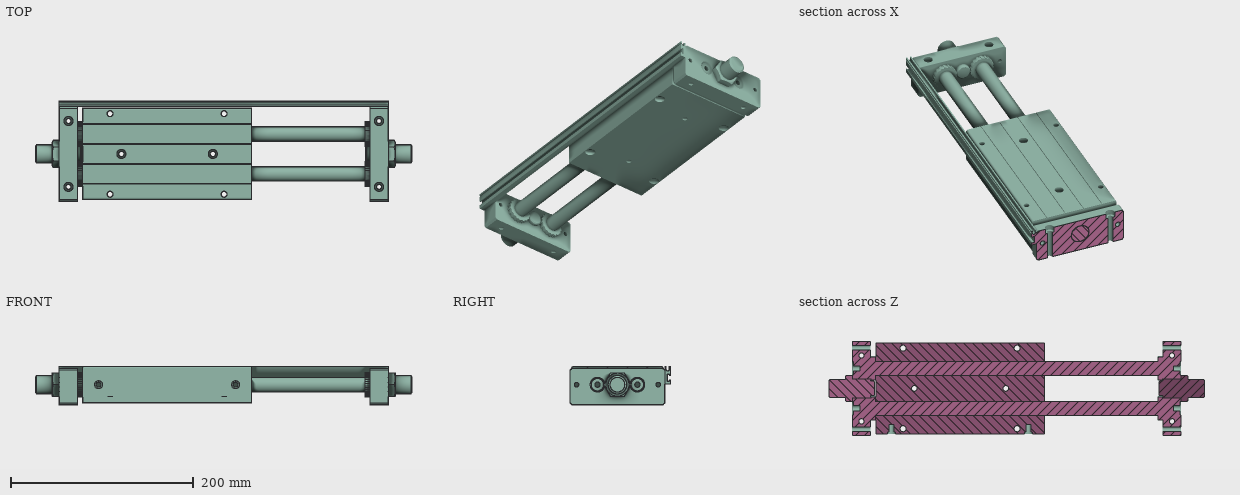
import cadquery as cq
import math

overall_length = 412.0

plate_outer_x = 180.0
plate_thickness = 20.0
plate_inner_x = plate_outer_x - plate_thickness
plate_mid_x = plate_outer_x - plate_thickness / 2
plate_width = 104.0
plate_height = 40.0
plate_drop = 2.0
plate_chamfer = 2.0
rod_diameter = 16.0
rod_spacing = 43.5
rod_places = [-rod_spacing / 2, rod_spacing / 2]

collar_diameter = 27.0
collar_length = 5.5
collar_teeth = 18
collar_tooth_width = 2.5
collar_tooth_depth = 1.0
rod_dimple_diameter = rod_diameter
rod_dimple_depth = 1.2
rod_screw_hole_diameter = 5.8
rod_screw_hole_depth = 8.2
end_hole_diameter = 5.0
end_hole_spacing = 89.5
mount_hole_spacing = 72.0
mount_hole_diameter = 5.5
mount_bore_diameter = 10.0
mount_bore_depth = 6.0

absorber_diameter = 20.0
absorber_chamfer_length = 1.2
absorber_chamfer_depth = 2.0
absorber_nose_diameter = 16.5
absorber_nose_x = 155.5
absorber_nose_chamfer = 1.2
nut_sides = 6
nut_across_flats = 26.0
nut_outer_x = 188.0
nut_thickness = nut_outer_x - plate_outer_x
nut_face_diameter = 25.0
nut_chamfer_angle = 30

carriage_start_x = collar_length - plate_inner_x
carriage_length = 185.0
carriage_mid_x = carriage_start_x + carriage_length / 2
carriage_width = 100.0
carriage_height = 40.0
carriage_fillet = 2.25
groove_count = 4
groove_width = 1.0
groove_depth = 1.0
groove_spacing = rod_spacing / 2
corner_hole_diameter = 6.0
corner_bore_diameter = 11.0
corner_bore_depth = 7.0
corner_hole_pitch_x = 125.0
corner_hole_pitch_y = 88.0
center_hole_pitch_x = 100.0
center_hole_diameter = 5.8
center_bore_diameter = 10.0
center_bore_depth = 6.0
side_hole_pitch_x = 150.0
side_hole_diameter = 5.5
side_bore_diameter = 8.5
side_bore_depth = 2.0
side_hole_depth = 10.5

rail_end_x = 180.5
rail_depth = 6.0
rail_height = 19.5
top_slot_width = 3.5
top_slot_depth = 5.0
side_slot_height = 5.0
side_slot_pocket_height = 7.5
side_slot_depth = 3.5
side_slot_lip = 1.2
side_slot_above_bottom = 7.0
lip_groove_size = 1.2
lip_groove_below_top = 3.0

plate_mid_z = -plate_drop
carriage_top_z = carriage_height / 2
rail_inner_y = plate_width / 2
rail_outer_y = rail_inner_y + rail_depth
rail_top_z = carriage_top_z


def box_between(low, high):
    """Box given by two opposite corners."""
    sizes = [end - start for start, end in zip(low, high)]
    return cq.Workplane("XY").box(*sizes, centered=False).translate(low)


def x_cylinder(diameter, start_x, end_x, y=0.0, z=0.0):
    """Cylinder along X between two X positions."""
    return (
        cq.Workplane("YZ", origin=(start_x, 0, 0))
        .center(y, z)
        .circle(diameter / 2)
        .extrude(end_x - start_x)
    )


def mirror_x(shape):
    return shape.mirror("YZ")


def stepped_holes(plane, origin, points, diameter, depth, bore_diameter, bore_depth):
    """Counterbored hole tools that go into the part from a plane whose normal points outward."""
    face = cq.Workplane(plane, origin=origin)
    holes = face.pushPoints(points).circle(diameter / 2).extrude(-depth)
    bores = face.pushPoints(points).circle(bore_diameter / 2).extrude(-bore_depth)
    return holes.union(bores)


def make_end_plate():
    """End plate at the +X end, with its two toothed collars and all of its holes."""
    plate = (
        cq.Workplane("XY", origin=(plate_mid_x, 0, plate_mid_z))
        .box(plate_thickness, plate_width, plate_height)
        .edges("|X")
        .chamfer(plate_chamfer)
    )
    collars = (
        cq.Workplane("YZ", origin=(plate_inner_x - collar_length, 0, 0))
        .pushPoints([(y, 0) for y in rod_places])
        .circle(collar_diameter / 2)
        .extrude(collar_length)
    )
    for y in rod_places:
        gaps = (
            cq.Workplane("YZ", origin=(plate_inner_x - collar_length, y, 0))
            .polarArray(collar_diameter / 2, 0, 360, collar_teeth)
            .rect(2 * collar_tooth_depth, collar_tooth_width)
            .extrude(collar_length)
        )
        collars = collars.cut(gaps)
    plate = plate.union(collars)

    for y in rod_places:
        dimple = (
            cq.Workplane("YZ", origin=(plate_outer_x - rod_dimple_depth, y, 0))
            .circle(rod_dimple_diameter / 2 - rod_dimple_depth)
            .workplane(offset=rod_dimple_depth)
            .circle(rod_dimple_diameter / 2)
            .loft()
        )
        screw_hole = x_cylinder(
            rod_screw_hole_diameter, plate_outer_x - rod_screw_hole_depth, plate_outer_x, y
        )
        plate = plate.cut(dimple).cut(screw_hole)

    for y in [-end_hole_spacing / 2, end_hole_spacing / 2]:
        plate = plate.cut(x_cylinder(end_hole_diameter, plate_inner_x, plate_outer_x, y))

    mount_holes = stepped_holes(
        "XY",
        (plate_mid_x, 0, plate_mid_z + plate_height / 2),
        [(0, -mount_hole_spacing / 2), (0, mount_hole_spacing / 2)],
        mount_hole_diameter,
        plate_height,
        mount_bore_diameter,
        mount_bore_depth,
    )
    absorber_hole = x_cylinder(absorber_diameter, plate_inner_x, plate_outer_x)
    return plate.cut(mount_holes).cut(absorber_hole)


def make_rail():
    """Sensor rail along the +Y side, slotted on its top and on its outer face."""
    rail = box_between(
        (-rail_end_x, rail_inner_y, rail_top_z - rail_height),
        (rail_end_x, rail_outer_y, rail_top_z),
    )
    slot_y = (rail_inner_y + rail_outer_y) / 2
    slot_z = rail_top_z - rail_height + side_slot_above_bottom
    groove_z = rail_top_z - lip_groove_below_top

    top_slot = (
        cq.Workplane("YZ", origin=(-rail_end_x, 0, 0))
        .moveTo(slot_y - top_slot_width / 2, rail_top_z)
        .lineTo(slot_y - top_slot_width / 2, rail_top_z - top_slot_depth + top_slot_width / 2)
        .threePointArc(
            (slot_y, rail_top_z - top_slot_depth),
            (slot_y + top_slot_width / 2, rail_top_z - top_slot_depth + top_slot_width / 2),
        )
        .lineTo(slot_y + top_slot_width / 2, rail_top_z)
        .close()
        .extrude(2 * rail_end_x)
    )
    side_slot = box_between(
        (-rail_end_x, rail_outer_y - side_slot_depth, slot_z - side_slot_height / 2),
        (rail_end_x, rail_outer_y, slot_z + side_slot_height / 2),
    )
    side_pocket = box_between(
        (-rail_end_x, rail_outer_y - side_slot_depth, slot_z - side_slot_pocket_height / 2),
        (rail_end_x, rail_outer_y - side_slot_lip, slot_z + side_slot_pocket_height / 2),
    )
    lip_groove = box_between(
        (-rail_end_x, rail_outer_y - lip_groove_size, groove_z - lip_groove_size / 2),
        (rail_end_x, rail_outer_y, groove_z + lip_groove_size / 2),
    )
    return rail.cut(top_slot).cut(side_slot).cut(side_pocket).cut(lip_groove)


def make_frame():
    """Two end plates joined by the two guide rods and the sensor rail."""
    end_plate = make_end_plate()
    frame = end_plate.union(mirror_x(end_plate)).union(make_rail())
    for y in rod_places:
        frame = frame.union(x_cylinder(rod_diameter, -plate_inner_x, plate_inner_x, y))
    return frame


def make_carriage():
    """Sliding block on the guide rods."""
    block = (
        cq.Workplane("XY", origin=(carriage_mid_x, 0, 0))
        .box(carriage_length, carriage_width, carriage_height)
        .edges("|X and >Z")
        .fillet(carriage_fillet)
    )
    end_x = carriage_start_x + carriage_length
    for y in rod_places:
        block = block.cut(x_cylinder(rod_diameter, carriage_start_x, end_x, y))

    for number in range(groove_count):
        y = (number - (groove_count - 1) / 2) * groove_spacing
        block = block.cut(
            box_between(
                (carriage_start_x, y - groove_width / 2, carriage_top_z - groove_depth),
                (end_x, y + groove_width / 2, carriage_top_z),
            )
        )

    corners = cq.Workplane("XY", origin=(carriage_mid_x, 0, -carriage_height / 2)).rarray(
        corner_hole_pitch_x, corner_hole_pitch_y, 2, 2
    )
    corner_holes = corners.circle(corner_hole_diameter / 2).extrude(carriage_height)
    corner_bores = corners.circle(corner_bore_diameter / 2).extrude(corner_bore_depth)
    center_holes = stepped_holes(
        "XY",
        (carriage_mid_x, 0, carriage_top_z),
        [(-center_hole_pitch_x / 2, 0), (center_hole_pitch_x / 2, 0)],
        center_hole_diameter,
        carriage_height,
        center_bore_diameter,
        center_bore_depth,
    )
    side_holes = stepped_holes(
        "XZ",
        (carriage_mid_x, -carriage_width / 2, 0),
        [(-side_hole_pitch_x / 2, 0), (side_hole_pitch_x / 2, 0)],
        side_hole_diameter,
        side_hole_depth,
        side_bore_diameter,
        side_bore_depth,
    )
    return block.cut(corner_holes).cut(corner_bores).cut(center_holes).cut(side_holes)


def make_absorber():
    """Shock absorber at the +X end, with its lock nut."""
    body = (
        x_cylinder(absorber_diameter, plate_inner_x, overall_length / 2)
        .faces(">X")
        .chamfer(absorber_chamfer_length, absorber_chamfer_depth)
    )
    nose = (
        x_cylinder(absorber_nose_diameter, absorber_nose_x, plate_inner_x)
        .faces("<X")
        .chamfer(absorber_nose_chamfer)
    )
    corner_diameter = nut_across_flats / math.cos(math.pi / nut_sides)
    nut = (
        cq.Workplane("YZ", origin=(plate_outer_x, 0, 0))
        .polygon(nut_sides, corner_diameter)
        .extrude(nut_thickness)
    )
    cone_slope = math.tan(math.radians(nut_chamfer_angle))
    chamfer_depth = (corner_diameter - nut_face_diameter) / 2
    rounding = (
        x_cylinder(corner_diameter, plate_outer_x, nut_outer_x)
        .faces(">X")
        .chamfer(chamfer_depth * cone_slope, chamfer_depth)
    )
    return body.union(nose).union(nut.intersect(rounding))


frame = make_frame()
carriage = make_carriage()
right_absorber = make_absorber()
absorbers = [right_absorber, mirror_x(right_absorber)]

result = cq.Compound.makeCompound(
    [frame.val(), carriage.val(), *[absorber.val() for absorber in absorbers]]
)